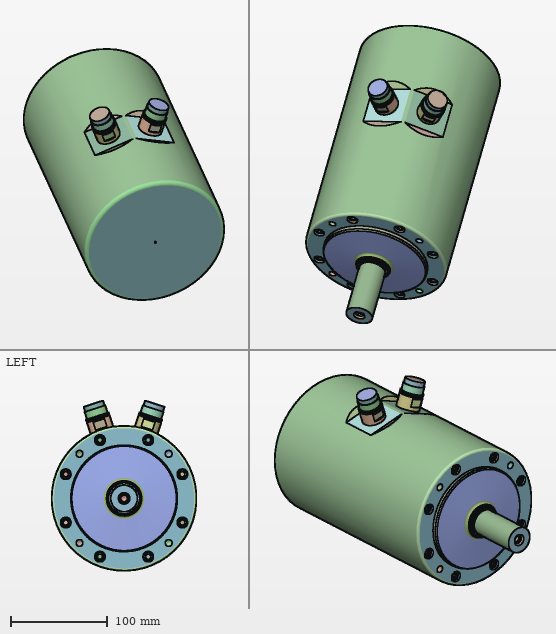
import cadquery as cq
import math


housing_radius = 150.0 / 2
housing_front = 74.5
housing_rear = 319.0
front_edge_fillet = 2.5
rear_edge_fillet = 4.0
rear_pip_radius = 0.5
overall_length = 320.0

spigot_radius = 110.5 / 2
spigot_chamfer_radius = 108.0 / 2
spigot_chamfer_end = 70.7
cone_outer_x = 68.8
cone_inner_x = 65.5
cone_inner_radius = 21.0
hub_radius = 36.5 / 2
hub_nose_radius = 35.0 / 2
hub_face_x = 60.0
hub_nose_end = 61.0
hub_chamfer_end = 62.0
hub_fillet_start = 63.0
hub_recess_radius = 32.0 / 2
hub_recess_floor = 61.0

shaft_radius = 28.0 / 2
shaft_groove_radius = 27.5 / 2
shaft_groove_start = 58.2
shaft_groove_end = 59.2

centre_mouth_radius = 12.0 / 2
centre_mouth_depth = 2.5
centre_counterbore_radius = 9.0 / 2
centre_counterbore_depth = 5.0
centre_bore_radius = 7.0 / 2
centre_bore_depth = 19.2

hole_circle_radius = 65.3
screw_count = 8
screw_first_angle = 22.5
screw_counterbore_radius = 11.0 / 2
screw_counterbore_depth = 4.0
screw_head_radius = 9.0 / 2
screw_head_height = 1.5
screw_socket_radius = 2.72
screw_socket_depth = 2.5
mount_hole_count = 4
mount_hole_first_angle = 45.0
mount_hole_radius = 7.0 / 2
mount_hole_depth = 12.8
drill_tip_angle = 118.0

connector_tilt = 18.0
connector_x = 217.0
seat_height = 72.0
seat_floor_length = 41.5
seat_wall_run = 8.0

connector_height = 31.0
base_radius = 25.0 / 2
base_height = 14.5
groove_radius = 23.0 / 2
groove_width = 1.5
collar_top = 17.5
barrel_radius = 22.7 / 2
barrel_top = 25.5
cap_radius = 21.5 / 2
cap_edge_radius = 21.0 / 2
cap_edge_height = 0.5
flat_distance = 11.0
flat_bottom = 4.0
flat_top = 12.8


def drill_tip_length(radius):
    return radius / math.tan(math.radians(drill_tip_angle / 2))


def revolve_about_x(outline):
    return outline.close().revolve(360, (0, 0, 0), (1, 0, 0))


def make_motor_blank():
    outline = (
        cq.Workplane("XY")
        .moveTo(0, 0)
        .lineTo(0, shaft_radius)
        .lineTo(shaft_groove_start, shaft_radius)
        .lineTo(shaft_groove_start, shaft_groove_radius)
        .lineTo(shaft_groove_end, shaft_groove_radius)
        .lineTo(shaft_groove_end, shaft_radius)
        .lineTo(hub_recess_floor, shaft_radius)
        .lineTo(hub_recess_floor, hub_recess_radius)
        .lineTo(hub_face_x, hub_recess_radius)
        .lineTo(hub_face_x, hub_nose_radius)
        .lineTo(hub_nose_end, hub_nose_radius)
        .lineTo(hub_chamfer_end, hub_radius)
        .lineTo(hub_fillet_start, hub_radius)
        .tangentArcPoint((cone_inner_x, cone_inner_radius), relative=False)
        .lineTo(cone_outer_x, spigot_chamfer_radius)
        .lineTo(spigot_chamfer_end, spigot_radius)
        .lineTo(housing_front, spigot_radius)
        .lineTo(housing_front, housing_radius - front_edge_fillet)
        .tangentArcPoint((housing_front + front_edge_fillet, housing_radius), relative=False)
        .lineTo(housing_rear - rear_edge_fillet, housing_radius)
        .tangentArcPoint((housing_rear, housing_radius - rear_edge_fillet), relative=False)
        .lineTo(housing_rear, rear_pip_radius)
        .lineTo(overall_length, rear_pip_radius)
        .lineTo(overall_length, 0)
    )
    return revolve_about_x(outline)


def make_centre_hole():
    outline = (
        cq.Workplane("XY")
        .moveTo(0, 0)
        .lineTo(0, centre_mouth_radius)
        .lineTo(centre_mouth_depth, centre_counterbore_radius)
        .lineTo(centre_counterbore_depth, centre_counterbore_radius)
        .lineTo(centre_counterbore_depth, centre_bore_radius)
        .lineTo(centre_bore_depth, centre_bore_radius)
        .lineTo(centre_bore_depth + drill_tip_length(centre_bore_radius), 0)
    )
    return revolve_about_x(outline)


def make_screw_recess():
    """Counterbore that leaves a screw head with a round socket standing in it."""
    head_top = screw_counterbore_depth - screw_head_height
    outline = (
        cq.Workplane("XY")
        .moveTo(0, 0)
        .lineTo(0, screw_counterbore_radius)
        .lineTo(screw_counterbore_depth, screw_counterbore_radius)
        .lineTo(screw_counterbore_depth, screw_head_radius)
        .lineTo(head_top, screw_head_radius)
        .lineTo(head_top, screw_socket_radius)
        .lineTo(head_top + screw_socket_depth, screw_socket_radius)
        .lineTo(head_top + screw_socket_depth, 0)
    )
    return revolve_about_x(outline)


def make_mount_hole():
    outline = (
        cq.Workplane("XY")
        .moveTo(0, 0)
        .lineTo(0, mount_hole_radius)
        .lineTo(mount_hole_depth, mount_hole_radius)
        .lineTo(mount_hole_depth + drill_tip_length(mount_hole_radius), 0)
    )
    return revolve_about_x(outline)


def cut_round_flange(body, cutter, count, first_angle):
    placed = cutter.translate((housing_front, hole_circle_radius, 0))
    for index in range(count):
        angle = first_angle + index * 360 / count
        body = body.cut(placed.rotate((0, 0, 0), (1, 0, 0), angle))
    return body


def make_connector_seat():
    """Flat-floored cutter with sloped end walls, upright above the motor axis."""
    wall_rise = housing_radius - seat_height
    half_floor = seat_floor_length / 2
    half_mouth = half_floor + seat_wall_run
    outline = [
        (connector_x - half_floor, seat_height),
        (connector_x + half_floor, seat_height),
        (connector_x + half_mouth, seat_height + wall_rise),
        (connector_x - half_mouth, seat_height + wall_rise),
    ]
    return cq.Workplane("XZ").polyline(outline).close().extrude(housing_radius, both=True)


def make_connector():
    """Stepped round plug with two wrench flats, standing at the origin along Z."""
    outline = (
        cq.Workplane("XZ")
        .moveTo(0, 0)
        .lineTo(base_radius, 0)
        .lineTo(base_radius, base_height)
        .lineTo(groove_radius, base_height)
        .lineTo(groove_radius, base_height + groove_width)
        .lineTo(base_radius, base_height + groove_width)
        .lineTo(base_radius, collar_top)
        .lineTo(barrel_radius, collar_top)
        .lineTo(barrel_radius, barrel_top)
        .lineTo(cap_radius, barrel_top)
        .lineTo(cap_radius, connector_height - cap_edge_height)
        .lineTo(cap_edge_radius, connector_height)
        .lineTo(0, connector_height)
        .close()
    )
    plug = outline.revolve(360, (0, 0, 0), (0, 1, 0))
    flat_height = flat_top - flat_bottom
    for side in (-1, 1):
        flat_cutter = cq.Workplane("XY").box(
            base_radius, 2 * base_radius, flat_height, centered=(True, True, False)
        )
        plug = plug.cut(flat_cutter.translate((side * (flat_distance + base_radius / 2), 0, flat_bottom)))
    return plug


def tilt_about_motor_axis(shape, side):
    return shape.rotate((0, 0, 0), (1, 0, 0), side * connector_tilt)


motor = make_motor_blank().cut(make_centre_hole())
motor = cut_round_flange(motor, make_screw_recess(), screw_count, screw_first_angle)
motor = cut_round_flange(motor, make_mount_hole(), mount_hole_count, mount_hole_first_angle)

connectors = []
for side in (-1, 1):
    motor = motor.cut(tilt_about_motor_axis(make_connector_seat(), side))
    upright = make_connector().translate((connector_x, 0, seat_height))
    connectors.append(tilt_about_motor_axis(upright, side).val())

result = cq.Compound.makeCompound([motor.val(), *connectors])